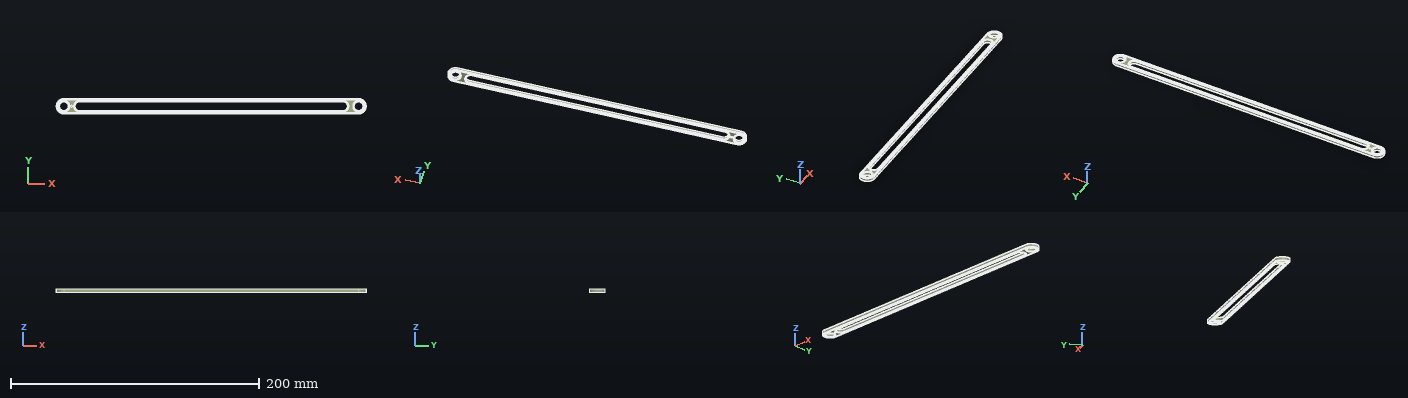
import cadquery as cq

length = 250.0
width = 12.5
web_thickness = 2.8
rim_height = 0.188
opening_width = 7.0
rim_diameter = 9.2
outer_rim_width = 1.1
bridge_length = 5.5
edge_chamfer = 0.3
mark_diameter = 1.2

thickness = web_thickness + 2 * rim_height
hole_x = (length - width) / 2
slot_length = 2 * (hole_x - opening_width / 2 - bridge_length)
window_rim_width = (rim_diameter - opening_width) / 2
mark_x = -(hole_x - opening_width / 2 - bridge_length / 2)


def slot_plate(plate_length, plate_width):
    """Round-ended plate of full thickness along X, centred on the origin."""
    return cq.Workplane("XY").slot2D(plate_length, plate_width).extrude(thickness / 2, both=True)


def cut_windows(body, margin=0):
    """Remove both end holes and the long slot, widened by a margin all around."""
    holes = (
        cq.Workplane("XY")
        .pushPoints([(-hole_x, 0), (hole_x, 0)])
        .circle(opening_width / 2 + margin)
        .extrude(thickness / 2, both=True)
    )
    slot = slot_plate(slot_length + 2 * margin, opening_width + 2 * margin)
    return body.cut(holes).cut(slot)


def make_link():
    """Bar with its three windows, chamfered along every top and bottom edge."""
    body = cut_windows(slot_plate(length, width))
    return body.faces("|Z").edges().chamfer(edge_chamfer)


def make_recesses():
    """Shallow areas between the outer rim and the window rims, on both faces."""
    area = slot_plate(length - 2 * outer_rim_width, width - 2 * outer_rim_width)
    area = cut_windows(area, window_rim_width)
    web = cq.Workplane("XY").box(length, width, web_thickness)
    return area.cut(web)


def make_mark_hole():
    """Small through hole in the middle of the bridge at the -X end."""
    return (
        cq.Workplane("XY")
        .center(mark_x, 0)
        .circle(mark_diameter / 2)
        .extrude(thickness / 2, both=True)
    )


result = make_link().cut(make_recesses()).cut(make_mark_hole())